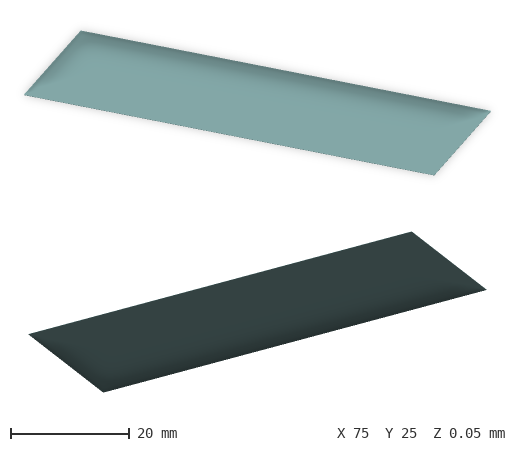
import cadquery as cq

length = 75.0
width = length / 3
thickness = 0.05

result = cq.Workplane("XY").box(length, width, thickness)